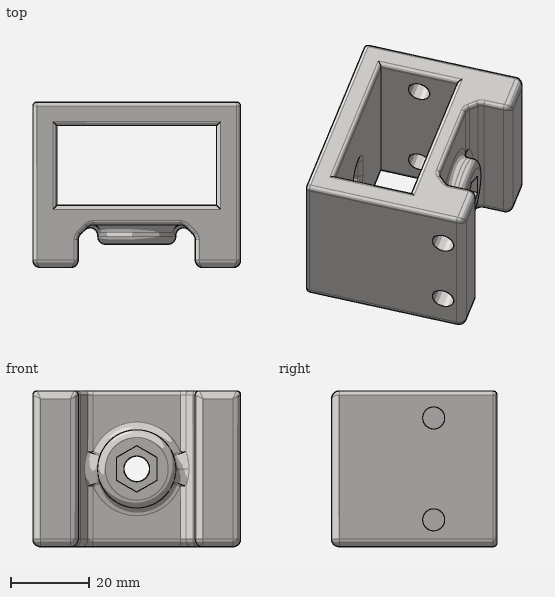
import cadquery as cq
import math

width = 53.3
depth = 42.5
height = 40.0
back_y = depth / 2
front_y = -depth / 2
large_round = 2.0
small_round = 1.05

cavity_width = 40.85
cavity_depth = 20.35
back_wall = 6.1
cavity_back_y = back_y - back_wall
cavity_y = cavity_back_y - cavity_depth / 2

channel_width = 29.95
channel_floor_y = -10.25
channel_chamfer = 3.0
channel_corner_round = 2.0

boss_radius = 10.0
boss_height = 5.0
boss_round = 1.95
hexagon_across_flats = 10.3
hexagon_sides = 6
hexagon_turn = 30.0
bore_diameter = 6.5

slot_width = bore_diameter
slot_top_centre_z = 0.75
slot_bottom_centre_z = -4.55

side_hole_diameter = 5.65
lug_hole_y = -15.6
lug_hole_spacing = 20.6
lug_hole_depth = 10.0
wall_hole_spacing = 26.1

margin = 0.05


def edges_in_box(x_size, y_range, z_range):
    """Selector for edges centred in a box that is symmetric in X."""
    return cq.selectors.BoxSelector(
        (-x_size / 2 - margin, y_range[0] - margin, z_range[0] - margin),
        (x_size / 2 + margin, y_range[1] + margin, z_range[1] + margin),
    )


def make_channel():
    """Channel cutter with chamfered inner corners, rounded where the chamfers end."""
    half = channel_width / 2
    floor_half = half - channel_chamfer
    chamfer_y = channel_floor_y - channel_chamfer
    profile = [
        (-half, front_y),
        (-half, chamfer_y),
        (-floor_half, channel_floor_y),
        (floor_half, channel_floor_y),
        (half, chamfer_y),
        (half, front_y),
    ]
    cutter = cq.Workplane("XY").polyline(profile).close().extrude(height / 2, both=True)
    return cutter.edges("|Z").edges("not <Y").fillet(channel_corner_round)


def make_block():
    """Channelled block: large rounds at the front and below, small ones at the back and on top."""
    block = cq.Workplane("XY").box(width, depth, height).cut(make_channel())
    block = block.faces("<Y").edges("|Z or >Z").fillet(large_round)
    block = block.faces("<Z").edges("not >Y").fillet(large_round)
    block = block.faces(">Y").edges("not >Z").fillet(small_round)
    return block.faces(">Z").edges().fillet(small_round)


def cut_cavity(body):
    """Cut the cavity and round the rims of both mouths."""
    cutter = cq.Workplane("XY").center(0, cavity_y).rect(cavity_width, cavity_depth)
    body = body.cut(cutter.extrude(height / 2, both=True))
    y_range = (cavity_back_y - cavity_depth, cavity_back_y)
    for mouth_z in (-height / 2, height / 2):
        rim = edges_in_box(cavity_width, y_range, (mouth_z, mouth_z))
        body = body.edges(rim).fillet(small_round)
    return body


def add_boss(body):
    """Add the rounded boss and blend its foot into the channel."""
    boss = cq.Workplane("XZ", origin=(0, channel_floor_y, 0)).circle(boss_radius).extrude(boss_height)
    body = body.union(boss.faces("<Y").edges().fillet(boss_round))
    foot = edges_in_box(2 * boss_radius, (channel_floor_y, channel_floor_y), (-boss_radius, boss_radius))
    return body.edges("%CIRCLE").edges(foot).fillet(boss_round)


def cut_socket_and_bore(body):
    """Cut the hexagon socket down to the channel floor level, then the bore on into the cavity."""
    across_corners = hexagon_across_flats / math.cos(math.pi / hexagon_sides)
    floor = cq.Workplane("XZ", origin=(0, channel_floor_y, 0))
    socket = floor.polygon(hexagon_sides, across_corners).extrude(boss_height)
    socket = socket.rotate((0, 0, 0), (0, 1, 0), hexagon_turn)
    bore = floor.circle(bore_diameter / 2).extrude(channel_floor_y - cavity_y)
    return body.cut(socket).cut(bore)


def cut_back_slot(body):
    """Cut the slot through the back wall and round its rim inside the cavity."""
    slot_length = slot_top_centre_z - slot_bottom_centre_z + slot_width
    slot_z = (slot_top_centre_z + slot_bottom_centre_z) / 2
    slot = cq.Workplane("XZ", origin=(0, cavity_y, slot_z)).slot2D(slot_length, slot_width, angle=90)
    body = body.cut(slot.extrude(cavity_y - back_y))
    z_range = (slot_z - slot_length / 2, slot_z + slot_length / 2)
    rim = edges_in_box(slot_width, (cavity_back_y, cavity_back_y), z_range)
    return body.edges(rim).fillet(small_round)


def make_side_holes(start_x, length, y, spacing):
    """Pair of cutters along X, one above the other."""
    pair = [(0, -spacing / 2), (0, spacing / 2)]
    holes = cq.Workplane("YZ", origin=(start_x, y, 0)).pushPoints(pair)
    return holes.circle(side_hole_diameter / 2).extrude(length)


body = cut_cavity(make_block())
body = cut_socket_and_bore(add_boss(body))
body = cut_back_slot(body)
body = body.cut(make_side_holes(-width / 2, lug_hole_depth, lug_hole_y, lug_hole_spacing))
result = body.cut(make_side_holes(0, width / 2, cavity_y, wall_hole_spacing))